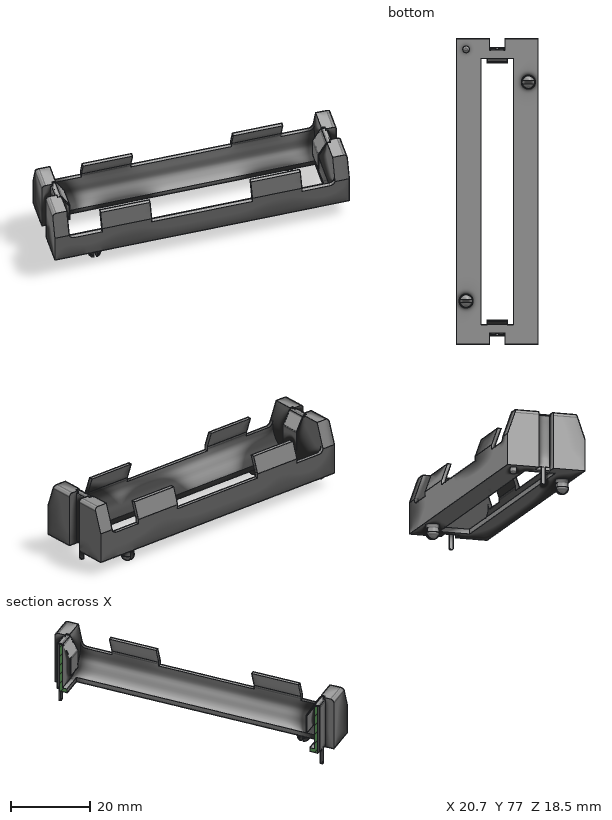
import cadquery as cq
import math

LENGTH = 77.05
WIDTH = 20.65
HEIGHT = 14.65
SHOULDER_Z = 8.1
TOP_INSET = 2.3
LEAN_SLOPE = TOP_INSET / (HEIGHT - SHOULDER_Z)
TOP_EDGE_RADIUS = 0.9

END_WALL = 3.8
TROUGH_LENGTH = LENGTH - 2 * END_WALL
TROUGH_WIDTH = 18.7
TROUGH_CORNER_RADIUS = 6.25
FLOOR_THICKNESS = 1.2
FLOOR_OPENING_WIDTH = 8.1
FLOOR_OPENING_LENGTH = 67.0

SIDE_WALL_Z = 6.9
SIDE_CORNER_RADIUS = 1.4
TAB_TOP_Z = 12.5
TAB_THICKNESS = 0.9
TAB_LENGTH = 12.95
TAB_CENTER_Y = 19.65

SLOT_WIDTH = 3.85
SLOT_DEPTH = 2.85
LEDGE_WIDTH = 5.4

PEG_X = 7.85
PEG_Y = 27.6
PEG_LENGTH = 3.8
PEG_NECK_RADIUS = 1.58
PEG_COLLAR_RADIUS = 1.8
PEG_COLLAR_HEIGHT = 0.9
PEG_HEAD_RADIUS = 1.7
PEG_SPLIT_WIDTH = 0.85
BOSS_Y = 35.8
BOSS_RADIUS = 0.85
BOSS_HEIGHT = 1.55
BOSS_ROUND_RADIUS = 0.55

SHEET = 0.3
CONTACT_TOP_Z = 14.4
CONTACT_BOTTOM_Z = 0.7
CONTACT_OUTER_Y = 36.4
PLATE_BEND_RADIUS = 0.5
LEAF_BEND_RADIUS = 0.7
PLATE_WIDTH = 3.4
SPRING_WIDTH = 5.2
SPRING_BEND_Y = 34.6
SPRING_KNEE_Z = 10.55
SPRING_TIP_Y = 32.4
SPRING_TIP_Z = 5.4
PIN_WIDTH = 1.0
PIN_THICKNESS = 0.55
PIN_CHAMFER = 0.2

LEDGE_Z = CONTACT_TOP_Z - SHEET
SLOT_END_Y = LENGTH / 2 - SLOT_DEPTH


def box(x_size, y_size, bottom_z, top_z, center_y=0.0):
    """Box centred on X, spanning the given heights."""
    return (
        cq.Workplane("XY", origin=(0, center_y, bottom_z))
        .rect(x_size, y_size)
        .extrude(top_z - bottom_z)
    )


def along_y(outline, length):
    """Extrude a closed XZ outline symmetrically along Y."""
    return outline.extrude(length / 2, both=True)


def housing_block():
    """Full-length prism with leaning upper sides and rounded upper end edges."""
    half = WIDTH / 2
    top_half = half - TOP_INSET
    outline = cq.Workplane("XZ").polyline([
        (-half, 0),
        (half, 0),
        (half, SHOULDER_Z),
        (top_half, HEIGHT),
        (-top_half, HEIGHT),
        (-half, SHOULDER_Z),
    ]).close()
    return along_y(outline, LENGTH).faces(">Z").edges("|X").fillet(TOP_EDGE_RADIUS)


def trough():
    """Space for the battery: round below, bounded by the leaning tab faces above."""
    channel = (
        box(TROUGH_WIDTH, TROUGH_LENGTH, FLOOR_THICKNESS, HEIGHT)
        .faces("<Z").edges("|Y").fillet(TROUGH_CORNER_RADIUS)
    )
    shoulder_half = WIDTH / 2 - TAB_THICKNESS * math.hypot(1, LEAN_SLOPE)
    bottom_half = shoulder_half + (SHOULDER_Z - FLOOR_THICKNESS) * LEAN_SLOPE
    top_half = shoulder_half - TOP_INSET
    between_tabs = along_y(
        cq.Workplane("XZ").polyline([
            (-bottom_half, FLOOR_THICKNESS),
            (bottom_half, FLOOR_THICKNESS),
            (top_half, HEIGHT),
            (-top_half, HEIGHT),
        ]).close(),
        TROUGH_LENGTH,
    )
    return channel.intersect(between_tabs)


def side_openings():
    """Space above the side walls, leaving the end walls and the four tabs standing."""
    openings = (
        box(WIDTH, TROUGH_LENGTH, SIDE_WALL_Z, HEIGHT)
        .faces("<Z").edges("|X").fillet(SIDE_CORNER_RADIUS)
    )
    for side in (-1, 1):
        openings = openings.cut(
            box(WIDTH, TAB_LENGTH, SIDE_WALL_Z, TAB_TOP_Z, center_y=side * TAB_CENTER_Y)
        )
    return openings


def contact_seat(end):
    """Slot through an end wall and the wider, shallow ledge behind it."""
    slot = box(SLOT_WIDTH, SLOT_DEPTH, 0, HEIGHT, center_y=end * (SLOT_END_Y + SLOT_DEPTH / 2))
    ledge_depth = SLOT_END_Y - TROUGH_LENGTH / 2
    ledge = box(
        LEDGE_WIDTH, ledge_depth, LEDGE_Z, HEIGHT, center_y=end * (SLOT_END_Y - ledge_depth / 2)
    )
    return slot.union(ledge)


def peg(x, y):
    """Split snap peg with a tapered collar, a neck and a hemispherical head."""
    head_top_z = PEG_HEAD_RADIUS - PEG_LENGTH
    diagonal = PEG_HEAD_RADIUS * math.sqrt(0.5)
    profile = (
        cq.Workplane("XZ")
        .lineTo(PEG_COLLAR_RADIUS, 0)
        .lineTo(PEG_NECK_RADIUS, -PEG_COLLAR_HEIGHT)
        .lineTo(PEG_NECK_RADIUS, head_top_z)
        .lineTo(PEG_HEAD_RADIUS, head_top_z)
        .threePointArc((diagonal, head_top_z - diagonal), (0, -PEG_LENGTH))
        .close()
    )
    split = box(2 * PEG_HEAD_RADIUS, PEG_SPLIT_WIDTH, -PEG_LENGTH, -PEG_COLLAR_HEIGHT)
    return profile.revolve(360, (0, 0, 0), (0, 1, 0)).cut(split).translate((x, y, 0))


def locating_boss():
    """Short round boss beside one contact."""
    return (
        cq.Workplane("XY", origin=(-PEG_X, -BOSS_Y, 0))
        .circle(BOSS_RADIUS)
        .extrude(-BOSS_HEIGHT)
        .faces("<Z").edges().fillet(BOSS_ROUND_RADIUS)
    )


def make_housing():
    floor_opening = box(FLOOR_OPENING_WIDTH, FLOOR_OPENING_LENGTH, 0, HEIGHT)
    body = housing_block().cut(trough()).cut(side_openings()).cut(floor_opening)
    for end in (-1, 1):
        body = body.cut(contact_seat(end))
        body = body.union(peg(-end * PEG_X, end * PEG_Y))
    return body.union(locating_boss())


def contact_strip():
    """Bent strip: upright plate, rounded top and a leaf that slopes down into the trough."""
    lean = math.atan2(SPRING_BEND_Y - SPRING_TIP_Y, CONTACT_TOP_Z - SPRING_KNEE_Z)
    top_setback = SHEET * math.tan((math.pi / 2 - lean) / 2)
    knee_drop = SHEET * math.tan(lean / 2)
    inner_y = CONTACT_OUTER_Y - SHEET
    return (
        cq.Workplane("YZ")
        .polyline([
            (CONTACT_OUTER_Y, CONTACT_BOTTOM_Z),
            (CONTACT_OUTER_Y, CONTACT_TOP_Z),
            (SPRING_BEND_Y, CONTACT_TOP_Z),
            (SPRING_TIP_Y, SPRING_KNEE_Z),
            (SPRING_TIP_Y, SPRING_TIP_Z),
            (SPRING_TIP_Y + SHEET, SPRING_TIP_Z),
            (SPRING_TIP_Y + SHEET, SPRING_KNEE_Z - knee_drop),
            (SPRING_BEND_Y + top_setback, LEDGE_Z),
            (inner_y, LEDGE_Z),
            (inner_y, CONTACT_BOTTOM_Z),
        ])
        .close()
        .extrude(SPRING_WIDTH / 2, both=True)
    )


def make_contact(end):
    """Contact for the +Y end (end = 1) or its mirror image for the -Y end (end = -1)."""
    strip = contact_strip()
    top_corner = cq.selectors.NearestToPointSelector((0, CONTACT_OUTER_Y, CONTACT_TOP_Z))
    strip = strip.edges("|X").edges(top_corner).fillet(PLATE_BEND_RADIUS)
    leaf_bend = cq.selectors.NearestToPointSelector((0, SPRING_BEND_Y, CONTACT_TOP_Z))
    strip = strip.edges("|X").edges(leaf_bend).fillet(LEAF_BEND_RADIUS)
    knee = cq.selectors.NearestToPointSelector((0, SPRING_TIP_Y, SPRING_KNEE_Z))
    strip = strip.edges("|X").edges(knee).fillet(LEAF_BEND_RADIUS)
    slot_part = box(
        WIDTH, SLOT_DEPTH, 0, HEIGHT, center_y=SLOT_END_Y + SLOT_DEPTH / 2
    ).cut(box(PLATE_WIDTH, LENGTH, 0, HEIGHT))
    pin_y = CONTACT_OUTER_Y - PIN_THICKNESS / 2
    pin = (
        box(PIN_WIDTH, PIN_THICKNESS, -PEG_LENGTH, CONTACT_BOTTOM_Z, center_y=pin_y)
        .faces("<Z").edges("|Y").chamfer(PIN_CHAMFER)
    )
    contact = strip.cut(slot_part).union(pin)
    return contact if end > 0 else contact.mirror("XZ")


housing = make_housing()
contacts = [make_contact(end) for end in (-1, 1)]
result = cq.Compound.makeCompound([housing.val(), *[contact.val() for contact in contacts]])